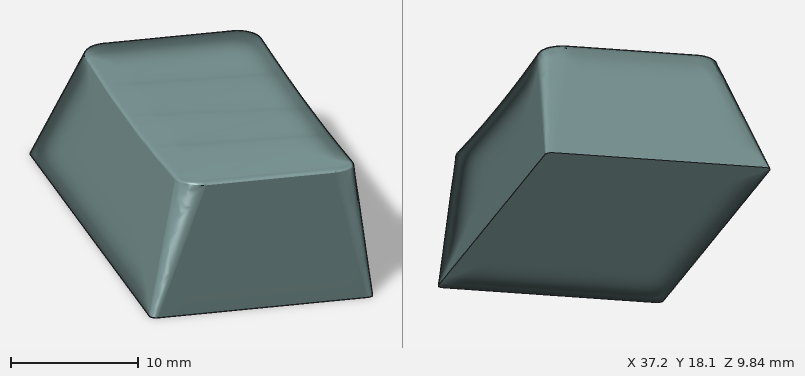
import cadquery as cq

base_length = 37.15
base_width = 18.1
base_corner_radius = 0.55
height = 9.85
top_length = 31.0
top_corner_radius = 2.05
front_inset = 3.45
back_inset = 0.45
rim_fillet = 0.4
dish_depth = 0.4
blank_height = 10.03

top_width = base_width - front_inset - back_inset
top_center_y = (front_inset - back_inset) / 2
dish_radius = ((top_length / 2) ** 2 + dish_depth**2) / (2 * dish_depth)


def rounded_rectangle(length, width, corner_radius):
    return cq.Sketch().rect(length, width).vertices().fillet(corner_radius)


def tapered_body():
    """Straight-walled loft whose corners grow rounder towards the top."""
    base = rounded_rectangle(base_length, base_width, base_corner_radius)
    top = rounded_rectangle(top_length, top_width, top_corner_radius).moved(
        cq.Location(cq.Vector(0, top_center_y, blank_height))
    )
    return cq.Workplane("XY").placeSketch(base, top).loft(ruled=True)


def dish_cutter():
    """Long cylinder along Y that hollows the top face across its length."""
    return (
        cq.Workplane("XZ")
        .center(0, height - dish_depth + dish_radius)
        .circle(dish_radius)
        .extrude(base_width, both=True)
    )


dished_body = tapered_body().cut(dish_cutter())
top_face = dished_body.faces(cq.selectors.NearestToPointSelector((0, top_center_y, height)))
result = top_face.edges().fillet(rim_fillet)